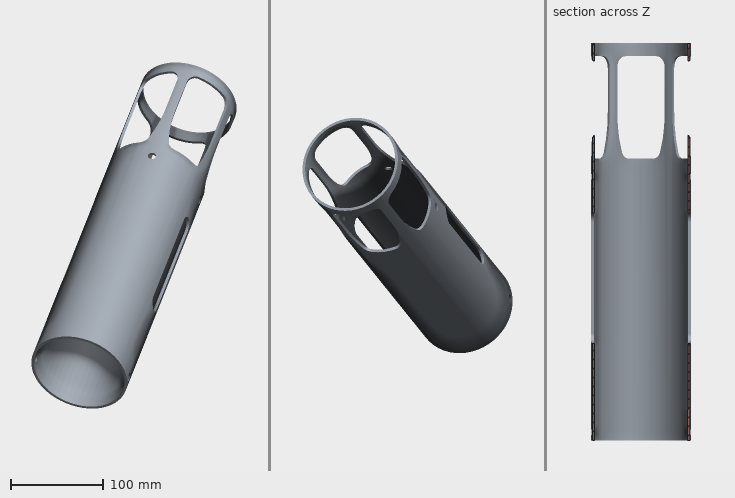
import cadquery as cq
import math

length = 430.0
outer_diameter = 108.0
inner_diameter = 102.0
front_y = -length / 2
back_y = length / 2
cut_reach = outer_diameter

window_count = 5
first_window_angle = -90.0
window_back_y = back_y - 14.0
window_length = 111.0
window_front_y = window_back_y - window_length
window_half_width = 31.5
window_straight_length = 60.0
window_side_radius = 129.0
window_back_corner_radius = 13.0
window_front_corner_radius = 10.8
inner_plane_share = 0.5
outer_plane_share = 1.5

hole_diameter = 9.0
rear_hole_y = back_y - 144.5
front_hole_y = front_y + 8.5

slot_length = 140.5
slot_width = 19.8
slot_back_y = back_y - 184.0
slot_z = 9.0


def tube():
    profile = cq.Workplane("XZ", origin=(0, back_y, 0))
    return profile.circle(outer_diameter / 2).circle(inner_diameter / 2).extrude(length)


def window_outline():
    """Closed window outline in the YZ plane, at its size on the outside of the tube."""
    taper_start_y = window_back_y - window_straight_length

    def half_width_at(y):
        run = taper_start_y - y
        drop = window_side_radius - math.sqrt(window_side_radius**2 - run**2)
        return window_half_width - drop

    taper_middle_y = (taper_start_y + window_front_y) / 2
    middle_half_width = half_width_at(taper_middle_y)
    front_half_width = half_width_at(window_front_y)
    plate = (
        cq.Workplane("YZ")
        .moveTo(window_back_y, -window_half_width)
        .lineTo(window_back_y, window_half_width)
        .lineTo(taper_start_y, window_half_width)
        .threePointArc((taper_middle_y, middle_half_width), (window_front_y, front_half_width))
        .lineTo(window_front_y, -front_half_width)
        .threePointArc((taper_middle_y, -middle_half_width), (taper_start_y, -window_half_width))
        .close()
        .extrude(4.5)
    )
    plate = plate.edges("|X and >Y").fillet(window_back_corner_radius)
    plate = plate.edges("|X and <Y").fillet(window_front_corner_radius)
    return plate.faces("<X").wires().val()


def window_cutter():
    """One window through the +X wall, its side walls pointing at the tube axis."""
    outline = window_outline()

    def section(share):
        stretch = cq.Matrix([[1, 0, 0, share * outer_diameter / 2], [0, 1, 0, 0], [0, 0, share, 0]])
        return outline.transformGeometry(stretch)

    return cq.Workplane(cq.Solid.makeLoft([section(inner_plane_share), section(outer_plane_share)], True))


def cut_windows(body):
    cutter = window_cutter()
    for index in range(window_count):
        angle = first_window_angle + index * 360 / window_count
        body = body.cut(cutter.rotate((0, 0, 0), (0, 1, 0), -angle))
    return body


def cut_holes(body):
    side_holes = (
        cq.Workplane("YZ")
        .pushPoints([(rear_hole_y, 0), (front_hole_y, 0)])
        .circle(hole_diameter / 2)
        .extrude(cut_reach, both=True)
    )
    top_hole = cq.Workplane("XY").center(0, rear_hole_y).circle(hole_diameter / 2).extrude(cut_reach)
    return body.cut(side_holes).cut(top_hole)


def cut_slot(body):
    slot = (
        cq.Workplane("YZ")
        .center(slot_back_y - slot_length / 2, slot_z)
        .slot2D(slot_length, slot_width)
        .extrude(cut_reach, both=True)
    )
    return body.cut(slot)


result = cut_slot(cut_holes(cut_windows(tube())))